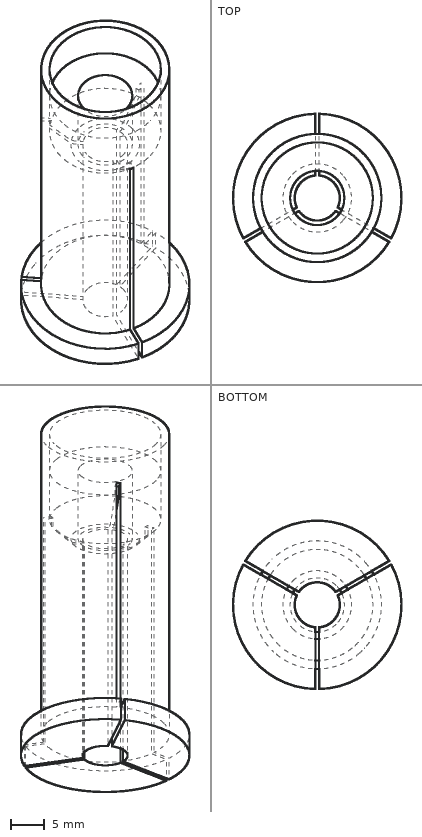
import cadquery as cq

total_height = 52.9
flange_diameter = 25.0
flange_height = 3.5
tube_diameter = 19.05
bore_diameter = 16.5
through_hole_diameter = 6.65

slit_count = 3
slit_width = 0.6
slit_height = 40.4
first_slit_angle = 90.0

plug_recess = 6.05
plug_hole_diameter = 8.05
taper_height = 3.2
taper_top = 38.85

plug_top = total_height - plug_recess
plug_bottom = taper_top - taper_height
plug_radius = bore_diameter / 2
plug_small_radius = plug_radius - taper_height


def make_cylinder(diameter, bottom, top):
    """Upright cylinder on the Z axis between two heights."""
    return cq.Workplane("XY").workplane(offset=bottom).circle(diameter / 2).extrude(top - bottom)


def make_tapered_core(top):
    """Solid of the plug's outside shape, with its straight part reaching the given height."""
    return (
        cq.Workplane("XZ")
        .moveTo(0, plug_bottom)
        .lineTo(plug_small_radius, plug_bottom)
        .lineTo(plug_radius, taper_top)
        .lineTo(plug_radius, top)
        .lineTo(0, top)
        .close()
        .revolve(360, (0, 0, 0), (0, 1, 0))
    )


def make_slit(angle):
    """Radial slit from the axis out through the flange."""
    slit = cq.Workplane("XY").box(flange_diameter, slit_width, slit_height, centered=(False, True, False))
    return slit.rotate((0, 0, 0), (0, 0, 1), angle)


def make_sleeve():
    """Flanged sleeve with a tapered seat, a through hole and slit fingers."""
    flange = make_cylinder(flange_diameter, 0, flange_height)
    tube = make_cylinder(tube_diameter, 0, total_height)
    through_hole = make_cylinder(through_hole_diameter, 0, total_height)
    sleeve = flange.union(tube).cut(make_tapered_core(total_height)).cut(through_hole)
    for index in range(slit_count):
        sleeve = sleeve.cut(make_slit(first_slit_angle + index * 360.0 / slit_count))
    return sleeve


def make_plug():
    """Tapered plug with a straight hole along its axis."""
    return make_tapered_core(plug_top).cut(make_cylinder(plug_hole_diameter, plug_bottom, plug_top))


sleeve = make_sleeve()
plug = make_plug()

result = cq.Compound.makeCompound([sleeve.val(), plug.val()])